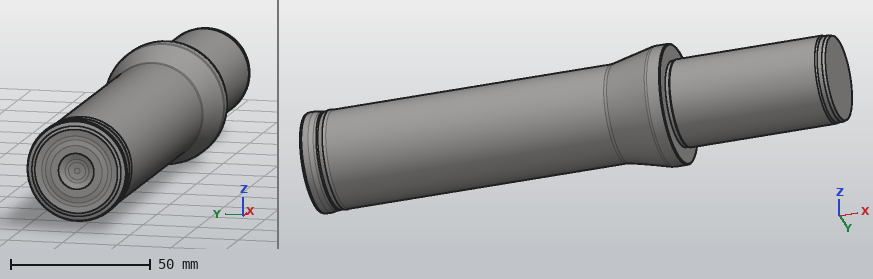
import cadquery as cq

LENGTH = 198.0
BARREL_RADIUS = 36.0 / 2
FLANGE_RADIUS = 44.0 / 2
SHAFT_RADIUS = 32.0 / 2
RELIEF_RADIUS = 31.5 / 2
FLARE_START = 115.8
FLARE_END = 132.3
FLANGE_BACK = 137.8

FLARE_FOOT_FILLET = 5.0
FLARE_TOP_FILLET = 4.0
FLANGE_CHAMFER = 0.4
NECK_END = 139.2
NECK_RAMP = 0.4

SHAFT_STEP_START = 194.2
SHAFT_STEP_LENGTH = 0.8
SHAFT_CHAMFER_LENGTH = 1.2
SHAFT_CHAMFER_DEPTH = 0.4

BEAD_RADIUS = BARREL_RADIUS + 0.4
BEAD_START = 1.5
BEAD_END = 4.0
WAIST_RADIUS = BARREL_RADIUS
WAIST_START = 5.7
WAIST_END = 7.0
WAIST_STEP_DEPTH = 0.2
WAIST_STEP_END = 7.5
RIDGE_RADIUS = BARREL_RADIUS + 0.2
RIDGE_START = 9.3
RIDGE_END = 10.5

CAP_RADIUS = 16.5
CAP_DEPTH = 4.0
CREST_RADIUS = 15.2
FRONT_CONE_LENGTH = 0.8
FRONT_CONE_SLOPE = FRONT_CONE_LENGTH / (BARREL_RADIUS - CREST_RADIUS)
CAP_EDGE_X = FRONT_CONE_SLOPE * (CAP_RADIUS - CREST_RADIUS)
VALLEY_OUTER_RADIUS = 12.9
VALLEY_INNER_RADIUS = 11.5
VALLEY_DEPTH = 0.3
LAND_RADIUS = 9.5
DIMPLE_RADIUS = 6.5
BOWL_RADIUS = 4.4
BOWL_DEPTH = 0.8
DISH_RADIUS = 3.2
DISH_DEPTH = 1.0
CENTRE_RADIUS = 1.0
CENTRE_DEPTH = 1.2


def revolve_about_x(outline):
    """Turn a closed list of (x, radius) points into a solid about the X axis."""
    return cq.Workplane("XY").polyline(outline).close().revolve(360, (0, 0, 0), (1, 0, 0))


def circle_edge_at(body, x, radius):
    """Select the circular edge that lies at one place along X with one radius."""
    margin = 0.1
    reach = radius + margin
    box = cq.selectors.BoxSelector((x - margin, -reach, -reach), (x + margin, reach, reach))
    outermost = cq.selectors.RadiusNthSelector(-1)
    return body.edges(box).edges("%CIRCLE").edges(outermost)


def make_pillar():
    """Barrel, flare, flange and shaft, with a front recess for the cap."""
    pillar = revolve_about_x([
        (CAP_DEPTH, 0),
        (CAP_DEPTH, CAP_RADIUS),
        (CAP_EDGE_X, CAP_RADIUS),
        (FRONT_CONE_LENGTH, BARREL_RADIUS),
        (BEAD_START, BEAD_RADIUS),
        (BEAD_END, BEAD_RADIUS),
        (WAIST_START, WAIST_RADIUS),
        (WAIST_END, WAIST_RADIUS),
        (WAIST_STEP_END, WAIST_RADIUS - WAIST_STEP_DEPTH),
        (RIDGE_START, RIDGE_RADIUS),
        (RIDGE_END, BARREL_RADIUS),
        (FLARE_START, BARREL_RADIUS),
        (FLARE_END, FLANGE_RADIUS),
        (FLANGE_BACK - FLANGE_CHAMFER, FLANGE_RADIUS),
        (FLANGE_BACK, FLANGE_RADIUS - FLANGE_CHAMFER),
        (FLANGE_BACK, RELIEF_RADIUS),
        (NECK_END, RELIEF_RADIUS),
        (NECK_END + NECK_RAMP, SHAFT_RADIUS),
        (SHAFT_STEP_START, SHAFT_RADIUS),
        (SHAFT_STEP_START + SHAFT_STEP_LENGTH, RELIEF_RADIUS),
        (LENGTH - SHAFT_CHAMFER_LENGTH, RELIEF_RADIUS),
        (LENGTH, RELIEF_RADIUS - SHAFT_CHAMFER_DEPTH),
        (LENGTH, 0),
    ])
    pillar = circle_edge_at(pillar, FLARE_START, BARREL_RADIUS).fillet(FLARE_FOOT_FILLET)
    return circle_edge_at(pillar, FLARE_END, FLANGE_RADIUS).fillet(FLARE_TOP_FILLET)


def make_cap():
    """Disc that fills the front recess; its face has a ring valley and a central dimple."""
    return revolve_about_x([
        (CAP_DEPTH, 0),
        (CAP_DEPTH, CAP_RADIUS),
        (CAP_EDGE_X, CAP_RADIUS),
        (0, CREST_RADIUS),
        (VALLEY_DEPTH, VALLEY_OUTER_RADIUS),
        (VALLEY_DEPTH, VALLEY_INNER_RADIUS),
        (0, LAND_RADIUS),
        (0, DIMPLE_RADIUS),
        (BOWL_DEPTH, BOWL_RADIUS),
        (DISH_DEPTH, DISH_RADIUS),
        (CENTRE_DEPTH, CENTRE_RADIUS),
        (CENTRE_DEPTH, 0),
    ])


pillar = make_pillar()
cap = make_cap()
result = cq.Compound.makeCompound([pillar.val(), cap.val()])